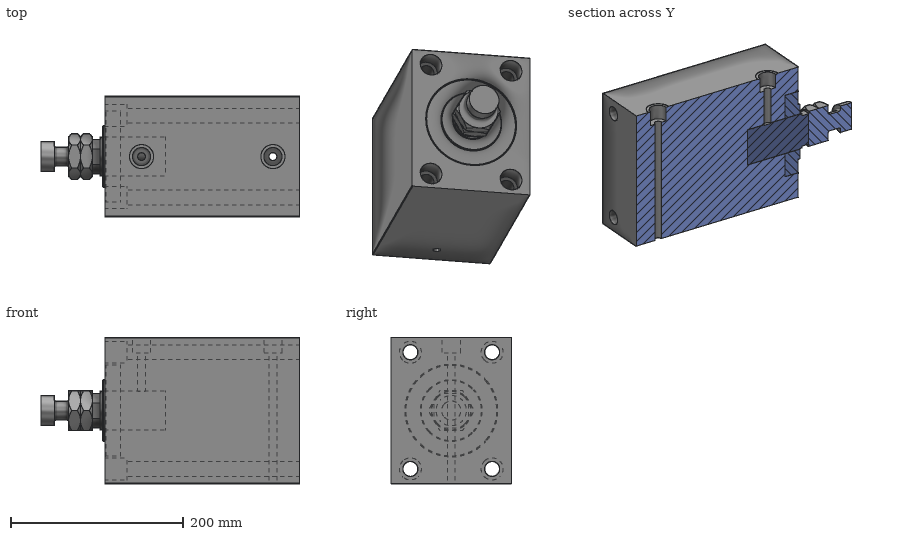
import cadquery as cq
import math


overall_length = 300.0

block_length = 226.0
block_width = 140.0
block_height = 170.0
block_edge_chamfer = 1.0

bolt_spacing_y = 94.8
bolt_spacing_z = 135.3
bolt_hole_diameter = 17.0
bolt_head_diameter = 25.5
bolt_head_depth = 25.5

front_port_x = 42.5
rear_port_x = 195.0
spotface_diameter = 28.0
spotface_depth = 0.3
port_diameter = 21.0
port_depth = 18.0
passage_diameter = 9.0

gland_diameter = 105.3
gland_depth = 18.0
gland_seat_chamfer = 1.2
collar_diameter = 71.7
collar_height = 2.7
collar_chamfer = 1.0

rod_diameter = 45.0
rod_shoulder_reach = 5.5
rod_end_reach = 14.5
rod_end_diameter = 44.0
rod_flats_width = 40.2
rod_inner_end = 70.5

hex_count = 2
hex_sides = 6
hex_length = 13.8
hex_width = 46.2
neck_diameter = 22.2
neck_fillet = 1.8
head_diameter = 35.0
head_length = 15.5

coupling_reach = overall_length - block_length
hexes_end_reach = rod_end_reach + hex_count * hex_length
neck_length = coupling_reach - head_length - hexes_end_reach


def x_cylinder(diameter, start, length):
    """Solid cylinder on the X axis from start toward +X."""
    return cq.Workplane("YZ", origin=(start, 0, 0)).circle(diameter / 2).extrude(length)


def drill_down(body, x, diameter, depth):
    """Cut a vertical flat-bottomed hole from the top face."""
    top = cq.Workplane("XY", origin=(x, 0, block_height / 2))
    return body.cut(top.circle(diameter / 2).extrude(-depth))


def cut_port(body, x, passage_depth):
    """Cut a spotfaced oil port with a narrow passage below it."""
    body = drill_down(body, x, spotface_diameter, spotface_depth)
    body = drill_down(body, x, port_diameter, port_depth)
    return drill_down(body, x, passage_diameter, passage_depth)


def make_housing():
    """Block with bolt holes, ports, a seat for the gland and a blind bore for the rod."""
    body = cq.Workplane("YZ").rect(block_width, block_height).extrude(block_length)
    body = body.edges("|X").chamfer(block_edge_chamfer)
    body = (
        body.faces("<X").workplane(origin=(0, 0, 0))
        .rect(bolt_spacing_y, bolt_spacing_z, forConstruction=True).vertices()
        .cboreHole(bolt_hole_diameter, bolt_head_diameter, bolt_head_depth)
    )
    body = cut_port(body, front_port_x, block_height / 2)
    body = cut_port(body, rear_port_x, block_height)
    body = body.cut(x_cylinder(gland_diameter, 0, gland_depth))
    body = body.cut(make_seat_chamfer())
    return body.cut(x_cylinder(rod_diameter, 0, rod_inner_end))


def make_seat_chamfer():
    """Cone that breaks the front edge of the gland seat."""
    seat_radius = gland_diameter / 2
    profile = (
        cq.Workplane("XY")
        .moveTo(0, 0)
        .lineTo(0, seat_radius + gland_seat_chamfer)
        .lineTo(gland_seat_chamfer, seat_radius)
        .lineTo(gland_seat_chamfer, 0)
        .close()
    )
    return profile.revolve(360, (0, 0, 0), (1, 0, 0))


def make_gland():
    """Plug flush with the housing face, with a chamfered collar and a bore for the rod."""
    plug = x_cylinder(gland_diameter, 0, gland_depth)
    collar = x_cylinder(collar_diameter, -collar_height, collar_height)
    collar = collar.faces("<X").edges().chamfer(collar_chamfer)
    rod_bore = x_cylinder(rod_diameter, -collar_height, collar_height + gland_depth)
    return plug.union(collar).cut(rod_bore)


def make_rod():
    """Round rod whose outer end has four wrench flats."""
    shank = x_cylinder(rod_diameter, -rod_shoulder_reach, rod_shoulder_reach + rod_inner_end)
    wrench_length = rod_end_reach - rod_shoulder_reach
    wrench_end = x_cylinder(rod_end_diameter, -rod_end_reach, wrench_length)
    square = (
        cq.Workplane("YZ", origin=(-rod_end_reach, 0, 0))
        .rect(rod_flats_width, rod_flats_width)
        .extrude(wrench_length)
    )
    return shank.union(wrench_end.intersect(square))


def make_hexagon(start):
    """Hexagon with corners on the Y axis, its corners turned down conically at both ends."""
    flat_radius = hex_width / 2
    corner_radius = flat_radius / math.cos(math.pi / hex_sides)
    prism = (
        cq.Workplane("YZ", origin=(start, 0, 0))
        .polygon(hex_sides, 2 * corner_radius)
        .extrude(hex_length)
    )
    turned_blank = (
        x_cylinder(2 * corner_radius, start, hex_length)
        .edges()
        .chamfer(corner_radius - flat_radius)
    )
    return prism.intersect(turned_blank)


def make_neck():
    """Neck between head and hexagons, flared by a concave fillet at each end."""
    start = -hexes_end_reach - neck_length
    end = -hexes_end_reach
    radius = neck_diameter / 2
    flare_radius = radius + neck_fillet
    arc_inset = neck_fillet * (1 - math.sqrt(0.5))
    profile = (
        cq.Workplane("XY")
        .moveTo(start, 0)
        .lineTo(start, flare_radius)
        .threePointArc((start + arc_inset, radius + arc_inset), (start + neck_fillet, radius))
        .lineTo(end - neck_fillet, radius)
        .threePointArc((end - arc_inset, radius + arc_inset), (end, flare_radius))
        .lineTo(end, 0)
        .close()
    )
    return profile.revolve(360, (0, 0, 0), (1, 0, 0))


def make_coupling():
    """Head, neck and hexagons in one piece, ending against the rod."""
    body = x_cylinder(head_diameter, -coupling_reach, head_length).union(make_neck())
    for index in range(hex_count):
        body = body.union(make_hexagon(-hexes_end_reach + index * hex_length))
    return body


housing = make_housing()
gland = make_gland()
rod = make_rod()
coupling = make_coupling()

result = cq.Compound.makeCompound([housing.val(), gland.val(), rod.val(), coupling.val()])